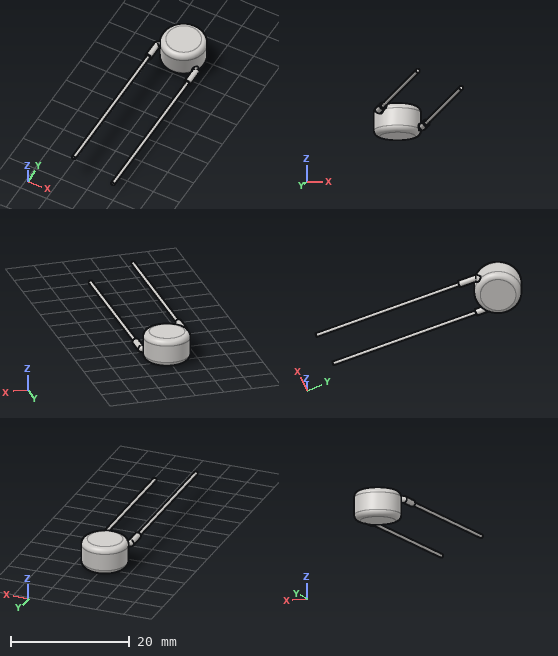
import cadquery as cq
import math


disc_diameter = 8.0
disc_height = 5.0
disc_edge_radius = 1.0
disc_radius = disc_diameter / 2

overall_length = 35.5
lead_spacing = 7.5
lead_diameter = 0.7
lead_height_offset = 1.28
lead_tip_y = disc_radius - overall_length

sleeve_diameter = 1.2
sleeve_overhang = 1.5
sleeve_end_y = -disc_radius - sleeve_overhang
elbow_y = -2.5
elbow_angle = math.radians(45)
elbow_arm_length = 2.13
elbow_arm_inward = elbow_arm_length * math.sin(elbow_angle)
elbow_arm_rise = elbow_arm_length * math.cos(elbow_angle)

LEFT = -1
RIGHT = 1


def lead_axis(side):
    """X and Z of the straight axis that a lead and its sleeve share."""
    return side * lead_spacing / 2, -side * lead_height_offset


def make_lead(side):
    """Straight round wire from the bend of its sleeve to its free tip."""
    x, z = lead_axis(side)
    return (
        cq.Workplane("XZ", origin=(x, elbow_y, z))
        .circle(lead_diameter / 2)
        .extrude(elbow_y - lead_tip_y)
    )


def make_sleeve(side):
    """Round sleeve with a mitred bend that turns it inward into the disc."""
    x, z = lead_axis(side)
    path = cq.Workplane("XY", origin=(0, 0, z)).polyline([
        (x, sleeve_end_y),
        (x, elbow_y),
        (x - side * elbow_arm_inward, elbow_y + elbow_arm_rise),
    ])
    return (
        cq.Workplane("XZ", origin=(x, sleeve_end_y, z))
        .circle(sleeve_diameter / 2)
        .sweep(path, transition="right")
    )


def make_disc():
    """Round disc with both rims rounded over."""
    return (
        cq.Workplane("XY", origin=(0, 0, -disc_height / 2))
        .circle(disc_radius)
        .extrude(disc_height)
        .faces("|Z")
        .edges()
        .fillet(disc_edge_radius)
    )


leads = [make_lead(side) for side in (LEFT, RIGHT)]

coating = make_disc()
for side in (LEFT, RIGHT):
    coating = coating.union(make_sleeve(side))
for lead in leads:
    coating = coating.cut(lead)

result = cq.Compound.makeCompound([coating.solids().val(), *[lead.val() for lead in leads]])